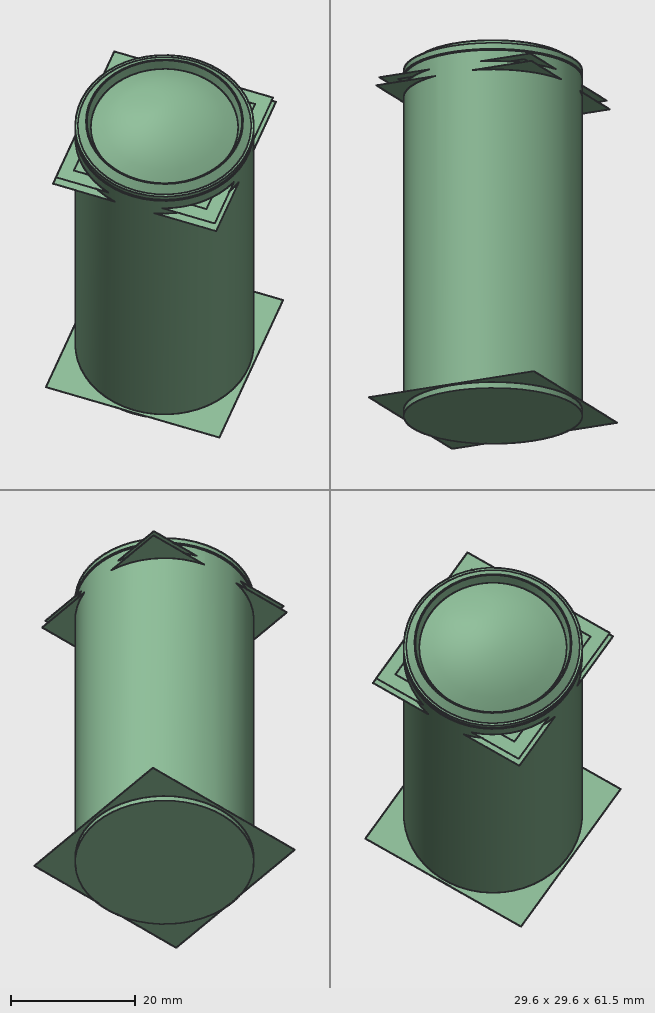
import cadquery as cq
import math

TOTAL_HEIGHT = 61.5
OUTER_RADIUS = 14.3

HOUSING_HEIGHT = 57.05
SHEET_THICKNESS = 0.03
BASE_SHEET_SIZE = 29.6
BASE_SHEET_Z = 1.0
LOWER_SHEET_SIZE = 27.85
LOWER_SHEET_Z = 53.7
UPPER_SHEET_SIZE = 27.1
UPPER_SHEET_Z = 55.15
INNER_SHEET_SIZE = 22.6

RIM_Z = 59.25
LEDGE_Z = 58.2
LEDGE_RADIUS = 13.9
RIM_OUTER_RADIUS = 12.6
RIM_INNER_RADIUS = 12.4
RELIEF_DEPTH = 0.1
RELIEF_HEIGHT = 0.2

LENS_RADIUS = 11.8
DOME_SPHERE_RADIUS = 20.9


def dome_height(radius):
    """Height of the lens surface at a distance from the axis."""
    sag = DOME_SPHERE_RADIUS - math.sqrt(DOME_SPHERE_RADIUS**2 - radius**2)
    return TOTAL_HEIGHT - sag


def square_sheet(size, bottom_z):
    """Thin square sheet centred on the axis."""
    return cq.Workplane("XY", origin=(0, 0, bottom_z)).rect(size, size).extrude(SHEET_THICKNESS)


def revolved(profile):
    """Full turn of a (radius, z) profile about the Z axis."""
    return profile.close().revolve(360, (0, 0), (0, 1))


def make_housing():
    """Solid cylinder with square sheets near both ends, joined to it."""
    body = revolved(
        cq.Workplane("YZ")
        .lineTo(-OUTER_RADIUS, 0)
        .lineTo(-OUTER_RADIUS, HOUSING_HEIGHT)
        .lineTo(0, HOUSING_HEIGHT)
    )
    sheets = [
        (BASE_SHEET_SIZE, BASE_SHEET_Z),
        (LOWER_SHEET_SIZE, LOWER_SHEET_Z),
        (UPPER_SHEET_SIZE, UPPER_SHEET_Z),
        (INNER_SHEET_SIZE, UPPER_SHEET_Z + SHEET_THICKNESS),
    ]
    for size, bottom_z in sheets:
        body = body.union(square_sheet(size, bottom_z))
    return body


def make_bezel():
    """Ring on the housing: relief groove at its foot, ledge, chamfer and flared mouth."""
    return revolved(
        cq.Workplane("YZ")
        .moveTo(-LENS_RADIUS, HOUSING_HEIGHT)
        .lineTo(RELIEF_DEPTH - OUTER_RADIUS, HOUSING_HEIGHT)
        .lineTo(RELIEF_DEPTH - OUTER_RADIUS, HOUSING_HEIGHT + RELIEF_HEIGHT)
        .lineTo(-OUTER_RADIUS, HOUSING_HEIGHT + RELIEF_HEIGHT)
        .lineTo(-OUTER_RADIUS, LEDGE_Z)
        .lineTo(-LEDGE_RADIUS, LEDGE_Z)
        .lineTo(-RIM_OUTER_RADIUS, RIM_Z)
        .lineTo(-RIM_INNER_RADIUS, RIM_Z)
        .lineTo(-LENS_RADIUS, dome_height(LENS_RADIUS))
    )


def make_lens():
    """Disc with a domed top, filling the bezel's bore."""
    arc_middle = LENS_RADIUS / 2
    return revolved(
        cq.Workplane("XZ")
        .moveTo(0, HOUSING_HEIGHT)
        .lineTo(-LENS_RADIUS, HOUSING_HEIGHT)
        .lineTo(-LENS_RADIUS, dome_height(LENS_RADIUS))
        .threePointArc((-arc_middle, dome_height(arc_middle)), (0, TOTAL_HEIGHT))
    )


housing = make_housing()
bezel = make_bezel()
lens = make_lens()

result = cq.Compound.makeCompound([housing.val(), bezel.val(), lens.val()])